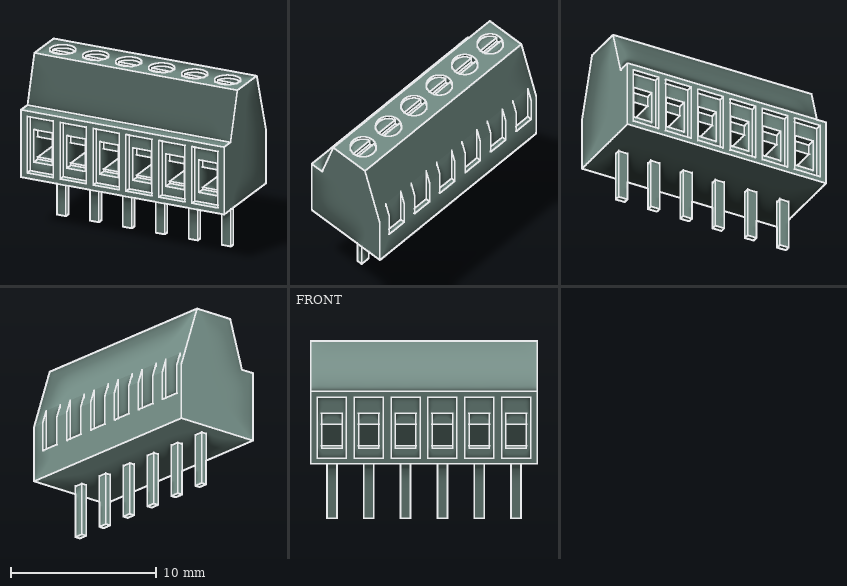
import cadquery as cq


LENGTH = 15.64
DEPTH = 6.5
HEIGHT = 8.5
LEDGE_HEIGHT = 5.0
LEDGE_DEPTH = 1.0
BACK_WALL_HEIGHT = 4.02
TOP_BACK_Y = -1.42
TOP_FRONT_Y = -4.44
FRONT_Y = -DEPTH

WAYS = 6
END_MARGIN = 1.47
PITCH = (LENGTH - 2 * END_MARGIN) / (WAYS - 1)
WAY_CENTRES = [(way - (WAYS - 1) / 2) * PITCH for way in range(WAYS)]

RECESS_WIDTH = 2.0
RECESS_MARGIN = 0.4
RECESS_DEPTH = 0.47
ENTRY_WIDTH = 1.4
ENTRY_BOTTOM = 1.1
ENTRY_TOP = 3.5
ENTRY_DEPTH = 0.61

NOTCH_WIDTH = 1.5
NOTCH_DEPTH = 0.33
NOTCH_SHIFT = -0.2
NOTCH_FLOOR = 2.0

SCREW_DIAMETER = 1.8
SCREW_SINK = 0.25
SCREW_TOP = HEIGHT - SCREW_SINK
SLOT_WIDTH = 0.4
SLOT_DEPTH = 0.4

CONTACT_Y = -3.0
STRIP_FRONT_Y = FRONT_Y + RECESS_DEPTH + ENTRY_DEPTH
STRIP_BACK_Y = 2 * CONTACT_Y - STRIP_FRONT_Y
STRIP_LENGTH = (WAYS - 1) * PITCH + RECESS_WIDTH
CHANNEL_BOTTOM = 1.25
CHANNEL_TOP = 2.75
STRIP_THICKNESS = ENTRY_TOP - CHANNEL_TOP
STRIP_BOTTOM = CHANNEL_BOTTOM - STRIP_THICKNESS
STRIP_TOP = ENTRY_TOP
WEB_FRONT_Y = STRIP_BACK_Y - STRIP_THICKNESS

PIN_WIDTH = 0.7
PIN_THICKNESS = 0.4
PIN_LENGTH = 3.75


def block(x_middle, width, y_front, y_back, z_bottom, z_top):
    """A box centred on x_middle between the given Y and Z limits."""
    size = (width, y_back - y_front, z_top - z_bottom)
    return cq.Workplane("XY").box(*size, centered=(True, False, False)).translate(
        (x_middle, y_front, z_bottom)
    )


def screw_cylinder(x_middle, z_top):
    """A screw-sized cylinder standing on the contact strip."""
    return (
        cq.Workplane("XY", origin=(x_middle, CONTACT_Y, STRIP_TOP))
        .circle(SCREW_DIAMETER / 2)
        .extrude(z_top - STRIP_TOP)
    )


def pin(x_middle):
    """A rectangular solder pin from the strip down to below the housing."""
    half = PIN_THICKNESS / 2
    return block(x_middle, PIN_WIDTH, CONTACT_Y - half, CONTACT_Y + half, -PIN_LENGTH, STRIP_BOTTOM)


def strip_channel():
    """The C-shaped bar from which the contact strip is made."""
    bar = block(0, STRIP_LENGTH, STRIP_FRONT_Y, STRIP_BACK_Y, STRIP_BOTTOM, STRIP_TOP)
    opening = block(0, STRIP_LENGTH, STRIP_FRONT_Y, WEB_FRONT_Y, CHANNEL_BOTTOM, CHANNEL_TOP)
    return bar.cut(opening)


def screwdriver_slot(x_middle):
    """The straight slot across the head of a screw."""
    half = SLOT_WIDTH / 2
    return block(
        x_middle, SCREW_DIAMETER, CONTACT_Y - half, CONTACT_Y + half, SCREW_TOP - SLOT_DEPTH, SCREW_TOP
    )


def make_contact_strip():
    """The channel with a slotted screw and a pin for each way."""
    strip = strip_channel()
    for x in WAY_CENTRES:
        screw = screw_cylinder(x, SCREW_TOP).cut(screwdriver_slot(x))
        strip = strip.union(screw).union(pin(x))
    return strip


def housing_blank():
    """The constant cross-section of the housing, extruded along the row."""
    outline = [
        (FRONT_Y, 0),
        (0, 0),
        (0, BACK_WALL_HEIGHT),
        (TOP_BACK_Y, HEIGHT),
        (TOP_FRONT_Y, HEIGHT),
        (FRONT_Y + LEDGE_DEPTH, LEDGE_HEIGHT),
        (FRONT_Y, LEDGE_HEIGHT),
    ]
    return cq.Workplane("YZ").polyline(outline).close().extrude(LENGTH / 2, both=True)


def wire_entry(x_middle):
    """A shallow recess, an entry and a lower throat that runs through the channel to its web."""
    recess_back_y = FRONT_Y + RECESS_DEPTH
    entry_back_y = recess_back_y + ENTRY_DEPTH
    recess_top = LEDGE_HEIGHT - RECESS_MARGIN
    recess = block(x_middle, RECESS_WIDTH, FRONT_Y, recess_back_y, RECESS_MARGIN, recess_top)
    entry = block(x_middle, ENTRY_WIDTH, recess_back_y, entry_back_y, ENTRY_BOTTOM, ENTRY_TOP)
    throat = block(x_middle, ENTRY_WIDTH, entry_back_y, WEB_FRONT_Y, CHANNEL_BOTTOM, CHANNEL_TOP)
    return recess.union(entry).union(throat)


def back_notch(x_middle):
    """A notch in the back wall, open at the back and at the top."""
    return block(x_middle + NOTCH_SHIFT, NOTCH_WIDTH, -NOTCH_DEPTH, 0, NOTCH_FLOOR, HEIGHT)


def make_housing():
    """The housing with its wire entries, back notches and room for the contact strip."""
    housing = housing_blank().cut(strip_channel())
    for x in WAY_CENTRES:
        housing = housing.cut(wire_entry(x)).cut(back_notch(x))
        housing = housing.cut(screw_cylinder(x, HEIGHT)).cut(pin(x))
    return housing


housing = make_housing()
contact_strip = make_contact_strip()
result = cq.Compound.makeCompound([housing.val(), contact_strip.val()])